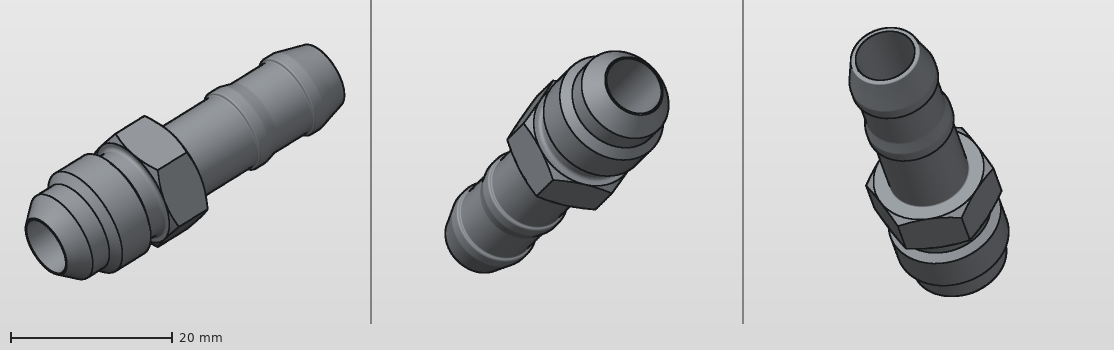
import cadquery as cq
import math

overall_length = 44.8

position_tolerance = 0.005

bore_radius = 3.75
nose_rim_radius = 4.0

neck_radius = 6.0
thread_radius = 14.3 / 2
nose_length = 2.5
thread_chamfer_start = 5.2
thread_chamfer_length = thread_radius - neck_radius
thread_end = 10.98
thread_relief_angle = math.radians(30)
neck_fillet = 0.5

hex_across_flats = 14.0
hex_start = 14.05
hex_length = 5.95
hex_end = hex_start + hex_length
hex_chamfer_angle = math.radians(30)

tail_radius = 5.05
tail_fillet = 0.2
barb_radius = 5.5
barb_shoulders = (29.9, 38.8)
barb_width = 1.8
barb_shoulder_round = 0.25
barb_root_fillet = barb_radius - tail_radius - barb_shoulder_round
barb_slope = math.tan(math.radians(15))
barb_taper_length = (barb_radius - tail_radius) / barb_slope
barb_blend = 0.63
tip_round = 0.2


def quarter_arc(profile, end, centre, radius):
    """Continue the profile to `end` on a 90 degree arc of the given centre."""
    start = profile.val().endPoint()
    mid_x = (start.x + end[0]) / 2 - centre[0]
    mid_y = (start.y + end[1]) / 2 - centre[1]
    stretch = radius / math.hypot(mid_x, mid_y)
    middle = (centre[0] + mid_x * stretch, centre[1] + mid_y * stretch)
    return profile.threePointArc(middle, end)


def add_barb_shoulder(profile, shoulder):
    """Step from the tail out to the barb crown: a root fillet, then a rounded edge."""
    root_radius = tail_radius + barb_root_fillet
    step = shoulder + barb_root_fillet
    crown_start = step + barb_shoulder_round
    profile = profile.lineTo(tail_radius, shoulder)
    profile = quarter_arc(profile, (root_radius, step), (root_radius, shoulder), barb_root_fillet)
    profile = quarter_arc(
        profile, (barb_radius, crown_start), (root_radius, crown_start), barb_shoulder_round
    )
    return profile.lineTo(barb_radius, shoulder + barb_width)


def make_turned_body():
    """Revolved body, in (radius, station) coordinates, from the nose to the hose tip."""
    relief_length = (thread_radius - neck_radius) * math.tan(thread_relief_angle)
    profile = (
        cq.Workplane("XY")
        .moveTo(0, 0)
        .lineTo(nose_rim_radius, 0)
        .lineTo(neck_radius, nose_length)
        .lineTo(neck_radius, thread_chamfer_start)
        .lineTo(thread_radius, thread_chamfer_start + thread_chamfer_length)
        .lineTo(thread_radius, thread_end)
        .lineTo(neck_radius, thread_end + relief_length)
        .lineTo(neck_radius, hex_start - neck_fillet)
    )
    neck_corner = neck_radius + neck_fillet
    profile = quarter_arc(
        profile, (neck_corner, hex_start), (neck_corner, hex_start - neck_fillet), neck_fillet
    )
    profile = profile.lineTo(neck_corner, hex_end)

    tail_corner = tail_radius + tail_fillet
    profile = profile.lineTo(tail_corner, hex_end)
    profile = quarter_arc(
        profile, (tail_radius, hex_end + tail_fillet), (tail_corner, hex_end + tail_fillet), tail_fillet
    )

    inner_shoulder, outer_shoulder = barb_shoulders
    profile = add_barb_shoulder(profile, inner_shoulder)
    profile = profile.lineTo(tail_radius, inner_shoulder + barb_width + barb_taper_length)
    profile = add_barb_shoulder(profile, outer_shoulder)
    tip_taper_length = overall_length - tip_round - outer_shoulder - barb_width
    tip_radius = barb_radius - tip_taper_length * barb_slope
    profile = profile.lineTo(tip_radius, overall_length - tip_round)
    tip_face_radius = tip_radius - tip_round
    profile = quarter_arc(
        profile, (tip_face_radius, overall_length), (tip_face_radius, overall_length - tip_round), tip_round
    )
    profile = profile.lineTo(0, overall_length).close()
    return profile.revolve(360, (0, 0, 0), (0, 1, 0))


def blend_barb_tapers(body):
    """Soften the shallow edges at both barb crowns and at the foot of the inner taper."""
    crown_ends = [shoulder + barb_width for shoulder in barb_shoulders]
    stations = crown_ends + [crown_ends[0] + barb_taper_length]
    edges = [
        edge
        for edge in body.edges("%CIRCLE").vals()
        if any(abs(edge.Center().y - station) < position_tolerance for station in stations)
    ]
    return body.newObject(edges).fillet(barb_blend)


def make_hexagon():
    """Hexagon with two flats facing +Z and -Z, its corners turned off conically at both ends."""
    corner_radius = hex_across_flats / math.sqrt(3)
    face_radius = hex_across_flats / 2
    chamfer_length = (corner_radius - face_radius) * math.tan(hex_chamfer_angle)
    prism = (
        cq.Workplane("XZ", origin=(0, hex_start, 0))
        .polygon(6, 2 * corner_radius)
        .extrude(-hex_length)
    )
    envelope = (
        cq.Workplane("XY")
        .moveTo(0, hex_start)
        .lineTo(face_radius, hex_start)
        .lineTo(corner_radius, hex_start + chamfer_length)
        .lineTo(corner_radius, hex_end - chamfer_length)
        .lineTo(face_radius, hex_end)
        .lineTo(0, hex_end)
        .close()
        .revolve(360, (0, 0, 0), (0, 1, 0))
    )
    return prism.intersect(envelope)


bore = cq.Workplane("XZ").circle(bore_radius).extrude(-overall_length)
turned_body = blend_barb_tapers(make_turned_body())
fitting = turned_body.union(make_hexagon()).cut(bore)
result = fitting.translate((0, -overall_length / 2, 0))